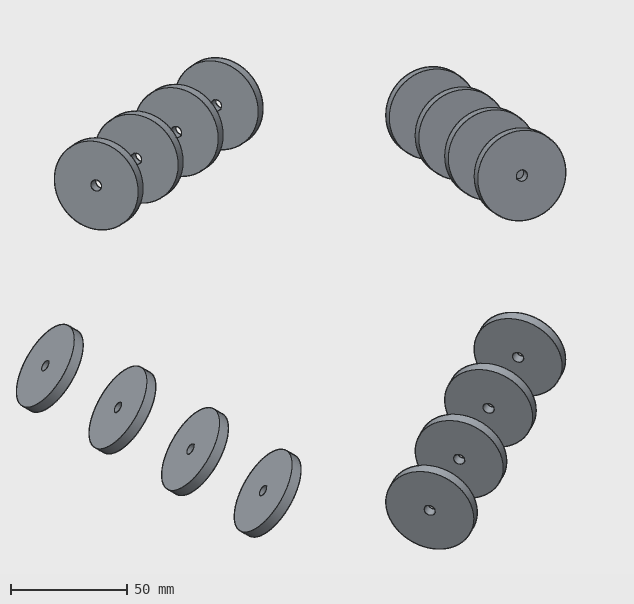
import cadquery as cq

disc_count = 4
disc_diameter = 40.0
disc_thickness = 5.0
bore_diameter = 5.0
overall_length = 125.0

disc_pitch = (overall_length - disc_thickness) / (disc_count - 1)


def make_disc(front_y):
    """Flat disc on the Y axis with a through bore, its front face at front_y."""
    return (
        cq.Workplane("XZ", origin=(0, front_y, 0))
        .circle(disc_diameter / 2)
        .circle(bore_diameter / 2)
        .extrude(-disc_thickness)
    )


first_front_y = -overall_length / 2
discs = []
for index in range(disc_count):
    disc = make_disc(first_front_y + index * disc_pitch)
    discs.append(disc.val())

result = cq.Compound.makeCompound(discs)